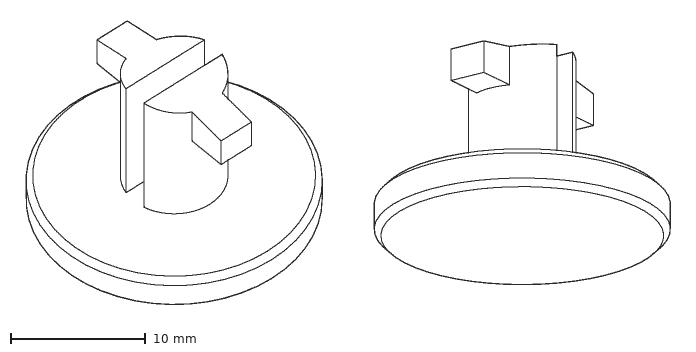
import cadquery as cq

disk_diameter = 22.0
disk_thickness = 3.0
disk_chamfer = 0.5

post_diameter = 8.0
slot_width = 2.0
total_height = 14.0

arm_span = 14.0
arm_width = 3.0
arm_bottom = 10.5
arm_tip_top = 13.0


def make_disk():
    """Round base with both rims chamfered."""
    disk = cq.Workplane("XY").circle(disk_diameter / 2).extrude(disk_thickness)
    return disk.edges("%CIRCLE").chamfer(disk_chamfer)


def make_post_and_arms():
    """Full-height post crossed by a bar that forms the two arms."""
    post = (
        cq.Workplane("XY")
        .workplane(offset=disk_thickness)
        .circle(post_diameter / 2)
        .extrude(total_height - disk_thickness)
    )
    bar = (
        cq.Workplane("XY")
        .workplane(offset=arm_bottom)
        .rect(arm_span, arm_width)
        .extrude(total_height - arm_bottom)
    )
    return post.union(bar)


def make_half_envelope():
    """Side profile of the +X half: starts at the slot wall, top sloping down to the arm tip."""
    slot_wall = slot_width / 2
    arm_tip = arm_span / 2
    return (
        cq.Workplane("XZ")
        .moveTo(slot_wall, disk_thickness)
        .lineTo(arm_tip, disk_thickness)
        .lineTo(arm_tip, arm_tip_top)
        .lineTo(slot_wall, total_height)
        .close()
        .extrude(post_diameter / 2, both=True)
    )


half_clip = make_post_and_arms().intersect(make_half_envelope())
result = make_disk().union(half_clip).union(half_clip.mirror("YZ"))